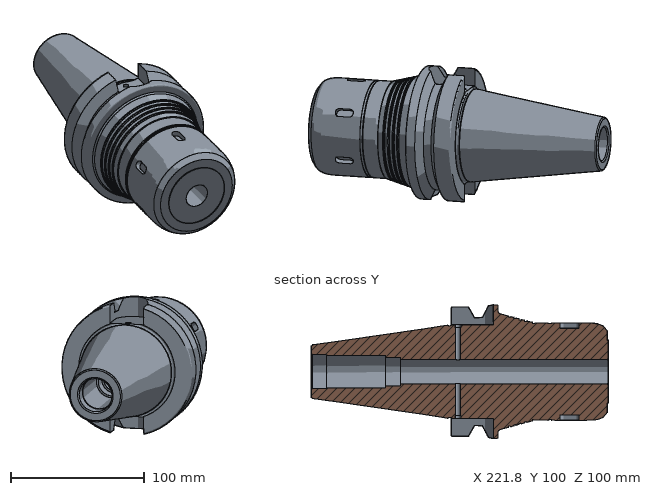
import cadquery as cq
import math

total_length = 221.8
gauge_radius = 69.9 / 2
gauge_x = 101.8
taper_ratio = 7 / 24
small_end_radius = gauge_radius - gauge_x * taper_ratio / 2
small_end_chamfer = 0.9

neck_radius = 69.0 / 2
neck_x = 102.5
undercut_x = 103.8
undercut_radius = 1.3

flange_radius = 100.0 / 2
flange_start = 104.5
flange_end = 139.7
flange_rounding = 1.0
vee_center = 124.9
vee_floor_radius = 42.4
vee_floor_width = 6.0
vee_half_angle = math.radians(30)

cone_angle = math.radians(15)
cone_end_x = 165.2
cone_end_radius = 73.9 / 2
body_bevel = 1.3
groove_count = 4
groove_pitch = 4.0
first_groove_x = 147.3
groove_floor_width = 1.0
groove_depth = 0.7

nut_radius = 73.0 / 2
nut_relief_radius = 72.0 / 2
nut_chamfer_x = 167.2
nut_relief_start = 176.8
nut_relief_chamfer = 0.7
nut_relief_end = 179.2
nose_arc_start = 209.2
nose_arc_radius = 18.9
nose_arc_end = 215.1
nose_points = [(217.8, 34.4), (219.8, 32.2), (221.1, 30.4)]
front_boss_radius = 23.5

wrench_slot_count = 6
wrench_slot_x = 192.7
wrench_slot_length = 14.0
wrench_slot_width = 6.2
wrench_slot_depth = 4.0

keyway_width = 26.0
keyway_floor = 35.0
keyway_end = 135.7
cross_hole_x = 109.5
cross_hole_diameter = 3.3
cross_hole_mouth_diameter = 4.0
cross_hole_mouth_depth = 2.2

mouth_chamfer = 0.9
mouth_radius = 27.3 / 2
counterbore_radius = 25.0 / 2
counterbore_depth = 11.3
lead_in_radius = 24.5 / 2
lead_in_length = 1.5
thread_radius = 24.0 / 2
thread_end_x = 55.5
relief_bore_radius = 21.0 / 2
relief_bore_end_x = 66.5
through_bore_radius = 18.0 / 2


def cone_radius(x):
    return cone_end_radius + (cone_end_x - x) * math.tan(cone_angle)


def outer_profile():
    """Half section of the outside, drawn as (x, radius)."""
    undercut_center = neck_radius + undercut_radius
    face_offset = flange_start - undercut_x
    undercut_top = undercut_center + math.sqrt(undercut_radius**2 - face_offset**2)
    vee_half_floor = vee_floor_width / 2
    vee_half_mouth = vee_half_floor + (flange_radius - vee_floor_radius) * math.tan(vee_half_angle)
    rounding_inset = flange_rounding * (1 - math.sqrt(0.5))
    bevel_end = flange_end + body_bevel
    nose_run = nose_arc_end - nose_arc_start
    nose_center = nut_radius - nose_arc_radius
    nose_mid_run = nose_run / 2

    def nose_height(run):
        return nose_center + math.sqrt(nose_arc_radius**2 - run**2)

    profile = (
        cq.Workplane("XY")
        .moveTo(0, 0)
        .lineTo(0, small_end_radius - small_end_chamfer)
        .lineTo(small_end_chamfer, small_end_radius + small_end_chamfer * taper_ratio / 2)
        .lineTo(gauge_x, gauge_radius)
        .lineTo(neck_x, neck_radius)
        .lineTo(undercut_x, neck_radius)
        .threePointArc((undercut_x + undercut_radius, undercut_center), (flange_start, undercut_top))
        .lineTo(flange_start, flange_radius - flange_rounding)
        .threePointArc(
            (flange_start + rounding_inset, flange_radius - rounding_inset),
            (flange_start + flange_rounding, flange_radius),
        )
        .lineTo(vee_center - vee_half_mouth, flange_radius)
        .lineTo(vee_center - vee_half_floor, vee_floor_radius)
        .lineTo(vee_center + vee_half_floor, vee_floor_radius)
        .lineTo(vee_center + vee_half_mouth, flange_radius)
        .lineTo(flange_end - flange_rounding, flange_radius)
        .threePointArc(
            (flange_end - rounding_inset, flange_radius - rounding_inset),
            (flange_end, flange_radius - flange_rounding),
        )
        .lineTo(flange_end, cone_radius(flange_end) + body_bevel / 2)
        .lineTo(bevel_end, cone_radius(bevel_end))
        .lineTo(cone_end_x, cone_end_radius)
        .lineTo(cone_end_x, nut_relief_radius)
        .lineTo(nut_chamfer_x, nut_radius)
        .lineTo(nut_relief_start, nut_radius)
        .lineTo(nut_relief_start + nut_relief_chamfer, nut_relief_radius)
        .lineTo(nut_relief_end, nut_relief_radius)
        .lineTo(nut_relief_end, nut_radius)
        .lineTo(nose_arc_start, nut_radius)
        .threePointArc(
            (nose_arc_start + nose_mid_run, nose_height(nose_mid_run)),
            (nose_arc_end, nose_height(nose_run)),
        )
    )
    for point in nose_points:
        profile = profile.lineTo(*point)
    return (
        profile.lineTo(nose_points[-1][0], front_boss_radius)
        .lineTo(total_length, front_boss_radius)
        .lineTo(total_length, 0)
        .close()
    )


def revolve_about_x(profile):
    return profile.revolve(360, (0, 0, 0), (1, 0, 0))


def grip_groove(x):
    """Ring cutter with a square left wall and a sloped right wall."""
    floor_end = x + groove_floor_width
    mouth_end = floor_end + groove_depth
    clearance = 2.2
    return revolve_about_x(
        cq.Workplane("XY").polyline([
            (x, cone_radius(x) + clearance),
            (x, cone_radius(x) - groove_depth),
            (floor_end, cone_radius(floor_end) - groove_depth),
            (mouth_end, cone_radius(mouth_end)),
            (mouth_end, cone_radius(mouth_end) + clearance),
        ]).close()
    )


def wrench_slot(angle):
    return (
        cq.Workplane("XY", origin=(wrench_slot_x, 0, nut_radius - wrench_slot_depth))
        .slot2D(wrench_slot_length, wrench_slot_width)
        .extrude(2 * wrench_slot_depth)
        .rotate((0, 0, 0), (1, 0, 0), angle)
    )


def keyway(angle):
    """Round-ended keyway that is open toward the taper."""
    half_width = keyway_width / 2
    open_end = neck_x
    arc_center = keyway_end - half_width
    return (
        cq.Workplane("XY", origin=(0, 0, keyway_floor))
        .moveTo(open_end, -half_width)
        .lineTo(arc_center, -half_width)
        .threePointArc((keyway_end, 0), (arc_center, half_width))
        .lineTo(open_end, half_width)
        .close()
        .extrude(flange_radius)
        .rotate((0, 0, 0), (1, 0, 0), angle)
    )


def central_bore():
    return revolve_about_x(
        cq.Workplane("XY").polyline([
            (0, 0),
            (0, mouth_radius),
            (mouth_chamfer, counterbore_radius),
            (counterbore_depth, counterbore_radius),
            (counterbore_depth, lead_in_radius),
            (counterbore_depth + lead_in_length, thread_radius),
            (thread_end_x, thread_radius),
            (thread_end_x, relief_bore_radius),
            (relief_bore_end_x, relief_bore_radius),
            (relief_bore_end_x, through_bore_radius),
            (total_length, through_bore_radius),
            (total_length, 0),
        ]).close()
    )


def cross_hole_cutter(diameter, bottom, top):
    return (
        cq.Workplane("XY", origin=(cross_hole_x, 0, bottom))
        .circle(diameter / 2)
        .extrude(top - bottom)
    )


def cross_hole():
    """Hole through both keyway floors, widened at each floor."""
    widening_bottom = keyway_floor - cross_hole_mouth_depth
    hole = cross_hole_cutter(cross_hole_diameter, -flange_radius, flange_radius)
    hole = hole.union(cross_hole_cutter(cross_hole_mouth_diameter, widening_bottom, flange_radius))
    return hole.union(cross_hole_cutter(cross_hole_mouth_diameter, -flange_radius, -widening_bottom))


holder = revolve_about_x(outer_profile())
for index in range(groove_count):
    holder = holder.cut(grip_groove(first_groove_x + index * groove_pitch))
for index in range(wrench_slot_count):
    holder = holder.cut(wrench_slot(index * 360 / wrench_slot_count))
for angle in (0, 180):
    holder = holder.cut(keyway(angle))
holder = holder.cut(central_bore())
holder = holder.cut(cross_hole())

result = holder